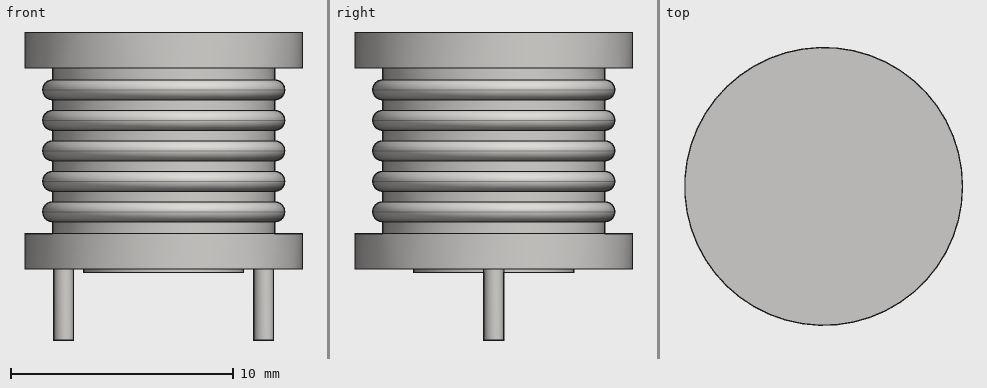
import cadquery as cq

total_height = 13.85
flange_diameter = 12.5
flange_thickness = 1.6
core_diameter = 10.0

pin_diameter = 0.9
pin_length = 3.2
pin_offset = 4.5

pad_diameter = 7.2
pad_thickness = 0.15

wire_diameter = 0.9
turn_count = 5
turn_pitch = 1.37

lower_flange_top = pin_length + flange_thickness
upper_flange_bottom = total_height - flange_thickness
winding_middle = (lower_flange_top + upper_flange_bottom) / 2


def cylinder(diameter, bottom, top, x=0):
    """Vertical cylinder between two heights."""
    return (
        cq.Workplane("XY", origin=(x, 0, bottom))
        .circle(diameter / 2)
        .extrude(top - bottom)
    )


def winding_turn(height):
    """Wire ring centred on the core surface."""
    return cq.Workplane(cq.Solid.makeTorus(core_diameter / 2, wire_diameter / 2, cq.Vector(0, 0, height)))


result = cylinder(core_diameter, pin_length, total_height)

for turn in range(turn_count):
    height = winding_middle + (turn - (turn_count - 1) / 2) * turn_pitch
    result = result.union(winding_turn(height))

for flange_bottom in (pin_length, upper_flange_bottom):
    result = result.union(cylinder(flange_diameter, flange_bottom, flange_bottom + flange_thickness))

result = result.union(cylinder(pad_diameter, pin_length - pad_thickness, lower_flange_top))

for side in (-1, 1):
    result = result.union(cylinder(pin_diameter, 0, lower_flange_top, side * pin_offset))